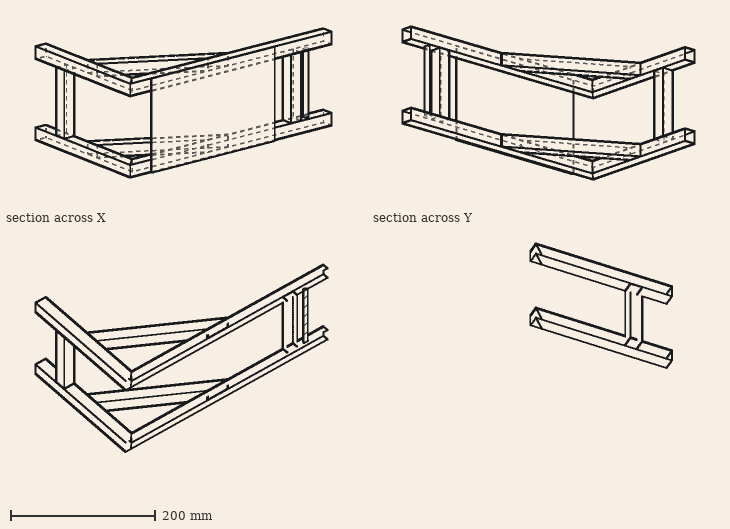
import cadquery as cq
import math

OVERALL_LENGTH = 359.5
OVERALL_WIDTH = 211.5
OVERALL_HEIGHT = 138.0

TUBE = 19.0
WALL = 1.0
PLATE_THICKNESS = 2.0
FOOT_LENGTH = OVERALL_WIDTH - PLATE_THICKNESS

BRACE_ANGLE = 60.0
BRACE_REACH = 99.2

POST_GAP = OVERALL_HEIGHT - 2 * TUBE
FOOT_POST_X = -164.3
BACK_POST_Y = 287.0

ROD_DIAMETER = 8.0
ROD_Y = 321.0
ROD_X = -TUBE / 2

PLATE_START = 36.5
PLATE_LENGTH = 220.0

RAIL_LEVELS = [0, OVERALL_HEIGHT - TUBE]


def prism(points, bottom, height):
    """Upright prism on a polygon in the XY plane."""
    return cq.Workplane("XY").workplane(offset=bottom).polyline(points).close().extrude(height)


def hollow_tube(outer_points, bore_points, level):
    """Horizontal square tube from its outer and bore plan shapes."""
    bore = prism(bore_points, level + WALL, TUBE - 2 * WALL)
    return prism(outer_points, level, TUBE).cut(bore)


def foot_rail_plan(inset):
    """Plan of a foot rail with its sides moved inwards; the mitre stays on the 45 degree line."""
    near = inset
    far = TUBE - inset
    return [(-FOOT_LENGTH, near), (-near, near), (-far, far), (-FOOT_LENGTH, far)]


def foot_rail(level):
    return hollow_tube(foot_rail_plan(0), foot_rail_plan(WALL), level)


def back_rail_plan(inset):
    """Plan of a back rail, matching the mitre of the foot rail."""
    near = inset
    far = TUBE - inset
    return [(-near, near), (-near, OVERALL_LENGTH), (-far, OVERALL_LENGTH), (-far, far)]


def back_rail(level):
    return hollow_tube(back_rail_plan(0), back_rail_plan(WALL), level)


def brace_plan(inset):
    """Plan of a brace, cut to fit the inner faces of the foot rail and the back rail."""
    angle = math.radians(BRACE_ANGLE)
    outer_reach = BRACE_REACH - inset / math.sin(angle)
    inner_reach = BRACE_REACH - (TUBE - inset) / math.sin(angle)
    slope = math.tan(angle)
    return [
        (-TUBE - outer_reach, TUBE),
        (-TUBE - inner_reach, TUBE),
        (-TUBE, TUBE + inner_reach * slope),
        (-TUBE, TUBE + outer_reach * slope),
    ]


def brace(level):
    return hollow_tube(brace_plan(0), brace_plan(WALL), level)


def post(x, y):
    """Square tube standing between the lower and upper rails, from its lowest X and Y corner."""
    bore = TUBE - 2 * WALL
    return (
        cq.Workplane("XY", origin=(x + TUBE / 2, y + TUBE / 2, TUBE))
        .rect(TUBE, TUBE)
        .rect(bore, bore)
        .extrude(POST_GAP)
    )


foot_rails = [foot_rail(level) for level in RAIL_LEVELS]
back_rails = [back_rail(level) for level in RAIL_LEVELS]
braces = [brace(level) for level in RAIL_LEVELS]
posts = [post(x, y) for x, y in [(FOOT_POST_X, 0), (-TUBE, BACK_POST_Y)]]

rod = cq.Workplane("XY", origin=(ROD_X, ROD_Y, TUBE)).circle(ROD_DIAMETER / 2).extrude(POST_GAP)

plate = cq.Workplane("XY", origin=(0, PLATE_START, 0)).box(
    PLATE_THICKNESS, PLATE_LENGTH, OVERALL_HEIGHT, centered=False
)

bodies = foot_rails + back_rails + braces + posts + [rod, plate]
result = cq.Compound.makeCompound([body.val() for body in bodies])